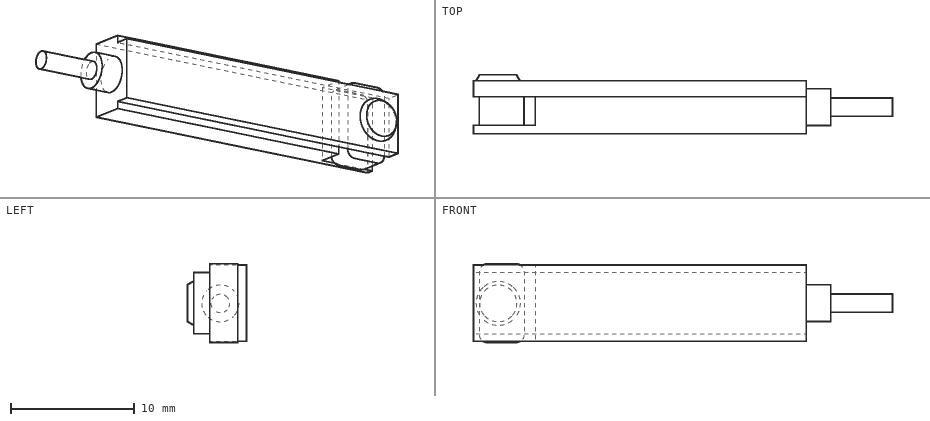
import cadquery as cq
import math

body_length = 27.0
body_height = 6.2
body_depth = 4.3

plate_depth = 1.3
plate_height = 5.0

web_thickness = 0.7
slot_length = 5.0

block_start = 0.46
block_length = 3.65
block_height = 6.4
block_corner_radius = 0.7

head_center_x = 2.0
head_top_diameter = 3.0
head_height = 0.5
head_taper_angle = 30.0

collar_diameter = 3.0
collar_length = 2.0
cable_diameter = 1.5
cable_length = 5.0

housing_depth = body_depth - plate_depth
slot_depth = housing_depth - web_thickness


def bar(x_start, y_start, length, depth, height):
    """Box placed by its lowest X and Y, centred on Z = 0."""
    box = cq.Workplane("XY").box(length, depth, height, centered=(False, False, True))
    return box.translate((x_start, y_start, 0))


def rod(x_start, diameter, length):
    """Round rod along X on the centre line of the body."""
    plane = cq.Workplane("YZ", origin=(x_start, body_depth / 2, 0))
    return plane.circle(diameter / 2).extrude(length)


def housing():
    """Bar with the slot cut through its full height at the -X end."""
    full_bar = bar(0, 0, body_length, housing_depth, body_height)
    slot = bar(0, web_thickness, slot_length, slot_depth, body_height)
    return full_bar.cut(slot)


def back_plate():
    return bar(0, housing_depth, body_length, plate_depth, plate_height)


def slot_block():
    """Block filling the slot depth, with its four long edges rounded."""
    block = bar(block_start, web_thickness, block_length, slot_depth, block_height)
    return block.edges("|Y").fillet(block_corner_radius)


def pin_head():
    """Truncated cone standing on the +Y face of the back plate."""
    top_radius = head_top_diameter / 2
    base_radius = top_radius + head_height * math.tan(math.radians(head_taper_angle))
    cone = cq.Solid.makeCone(
        base_radius,
        top_radius,
        head_height,
        pnt=cq.Vector(head_center_x, body_depth, 0),
        dir=cq.Vector(0, 1, 0),
    )
    return cq.Workplane(obj=cone)


def cable_outlet():
    """Collar followed by the thinner cable."""
    collar = rod(body_length, collar_diameter, collar_length)
    cable = rod(body_length + collar_length, cable_diameter, cable_length)
    return collar.union(cable)


result = (
    housing()
    .union(back_plate())
    .union(slot_block())
    .union(pin_head())
    .union(cable_outlet())
)